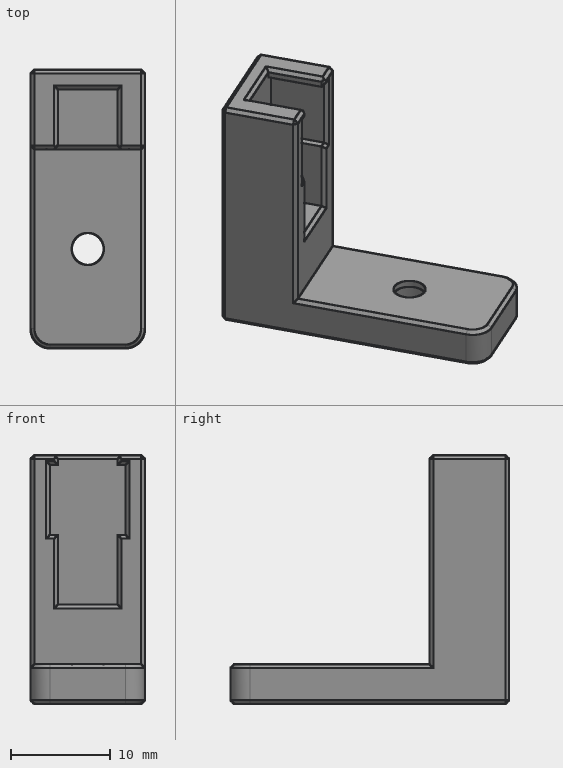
import cadquery as cq

width = 11.5
length = 28
height = 25.0
tower_depth = 8.0
base_thickness = 4.0
corner_radius = 2.0
chamfer = 0.4

back_wall = 2.0
slot_width = 6.0
slot_floor_z = height - 15.0
recess_width = 7.6
recess_top_z = height - 0.98
recess_bottom_z = height - 8.0

hole_diameter = 3.2
hole_y = -length + 10.0
counterbore_diameter = 6.0
hole_neck_length = 0.7


def box_between(size_x, y_min, y_max, z_min, z_max):
    """Box centred on x = 0 spanning the given y and z limits."""
    return (
        cq.Workplane("XY")
        .box(size_x, y_max - y_min, z_max - z_min, centered=(True, False, False))
        .translate((0, y_min, z_min))
    )


def make_body():
    """L-shaped body with rounded front corners and chamfered outer edges."""
    base = box_between(width, -length, 0, 0, base_thickness)
    base = base.edges("|Z and <Y").fillet(corner_radius)
    body = base.union(box_between(width, -tower_depth, 0, 0, height))

    reach = chamfer / 2
    concave_edge = cq.selectors.BoxSelector(
        (-reach, -tower_depth - reach, base_thickness - reach),
        (reach, -tower_depth + reach, base_thickness + reach),
    )
    corner_seams = cq.selectors.BoxSelector(
        (-width, -length - reach, chamfer),
        (width, -length + corner_radius + reach, base_thickness - chamfer),
    )
    skipped = body.edges(concave_edge).objects + body.edges(corner_seams).objects
    sharp_edges = [
        edge for edge in body.edges().objects if not any(edge.isSame(other) for other in skipped)
    ]
    return body.newObject(sharp_edges).chamfer(chamfer)


def cut_box(size_x, z_min, z_max):
    """Pocket box from the back wall forward past the tower front."""
    return box_between(size_x, -2 * tower_depth, -back_wall, z_min, z_max)


def front_flare(size_x, z_min, z_max):
    """Frustum that bevels a rectangular mouth on the tower front face."""
    return (
        cq.Workplane("XZ", origin=(0, -tower_depth, (z_min + z_max) / 2))
        .rect(size_x + 2 * chamfer, z_max - z_min + 2 * chamfer)
        .workplane(offset=-chamfer)
        .rect(size_x, z_max - z_min)
        .loft()
    )


def top_flare():
    """Frustum that bevels the pocket mouth on the tower top face."""
    depth = 2 * (tower_depth - back_wall)
    return (
        cq.Workplane("XY", origin=(0, -back_wall - depth / 2, height))
        .rect(slot_width + 2 * chamfer, depth + 2 * chamfer)
        .workplane(offset=-chamfer)
        .rect(slot_width, depth)
        .loft()
    )


def make_pocket():
    """Narrow slot through the top with a wider recess, both bevelled."""
    slot = cut_box(slot_width, slot_floor_z, 2 * height)
    recess = cut_box(recess_width, recess_bottom_z, recess_top_z)
    return (
        slot.union(recess)
        .union(front_flare(slot_width, slot_floor_z, height + chamfer))
        .union(front_flare(recess_width, recess_bottom_z, recess_top_z))
        .union(top_flare())
    )


def make_mounting_hole():
    """Through hole with a wider counterbore opening at the underside."""
    hole = cq.Workplane("XY").circle(hole_diameter / 2).extrude(base_thickness)
    counterbore = (
        cq.Workplane("XY")
        .circle(counterbore_diameter / 2)
        .extrude(base_thickness - hole_neck_length)
    )
    return hole.union(counterbore).translate((0, hole_y, 0))


result = make_body().cut(make_pocket()).cut(make_mounting_hole())